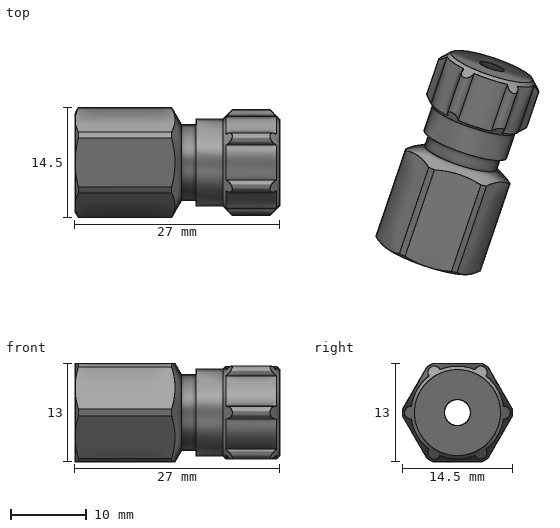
import cadquery as cq
import math

total_length = 27.0
neck_start = 14.05
collar_start = 15.95
knob_start = 19.52
knob_length = total_length - knob_start

hex_across_flats = 13.0
hex_corner_diameter = 14.5
hex_chamfer_angle = 30.0

neck_diameter = 10.0
collar_diameter = 11.5

knob_diameter = 12.23
knob_end_diameter = 11.35
rib_count = 6
rib_radius = 0.85
rib_tip_radius = 6.97
rib_center_radius = rib_tip_radius - rib_radius

socket_diameter = 8.55
socket_mouth_diameter = 9.7
socket_depth = 10.8
through_diameter = 3.4


def cylinder(start, length, diameter):
    """Cylinder on the X axis, beginning at the given X."""
    return cq.Workplane("YZ", origin=(start, 0, 0)).circle(diameter / 2).extrude(length)


def turned(points):
    """Solid turned about the X axis from (x, radius) points."""
    return cq.Workplane("XY").polyline(points).close().revolve(360, (0, 0, 0), (1, 0, 0))


def hex_body():
    """Hexagonal prism with rounded corners and conical ends; the rear cone runs down to the neck."""
    flat_radius = hex_across_flats / 2
    corner_radius = hex_corner_diameter / 2
    neck_radius = neck_diameter / 2
    slope = math.tan(math.radians(hex_chamfer_angle))
    front_chamfer = (corner_radius - flat_radius) * slope
    rear_chamfer = (corner_radius - neck_radius) * slope
    point_diameter = hex_across_flats / math.cos(math.pi / 6)
    prism = cq.Workplane("YZ").polygon(6, point_diameter).extrude(neck_start)
    envelope = turned([
        (0, 0),
        (0, flat_radius),
        (front_chamfer, corner_radius),
        (neck_start - rear_chamfer, corner_radius),
        (neck_start, neck_radius),
        (neck_start, 0),
    ])
    return prism.intersect(envelope)


def knob():
    """Cylinder with rounded lengthwise ribs, both ends bevelled at 45 degrees."""
    body = cylinder(knob_start, knob_length, knob_diameter)
    ribs = (
        cq.Workplane("YZ", origin=(knob_start, 0, 0))
        .polarArray(rib_center_radius, 0, 360, rib_count)
        .circle(rib_radius)
        .extrude(knob_length)
    )
    front_radius = collar_diameter / 2
    end_radius = knob_end_diameter / 2
    envelope = turned([
        (knob_start, 0),
        (knob_start, front_radius),
        (knob_start + rib_tip_radius - front_radius, rib_tip_radius),
        (total_length - (rib_tip_radius - end_radius), rib_tip_radius),
        (total_length, end_radius),
        (total_length, 0),
    ])
    return body.union(ribs).intersect(envelope)


def bore():
    """Socket with a 45 degree mouth chamfer, followed by a through hole."""
    socket_radius = socket_diameter / 2
    mouth_radius = socket_mouth_diameter / 2
    socket = turned([
        (0, 0),
        (0, mouth_radius),
        (mouth_radius - socket_radius, socket_radius),
        (socket_depth, socket_radius),
        (socket_depth, 0),
    ])
    return socket.union(cylinder(0, total_length, through_diameter))


neck = cylinder(neck_start, collar_start - neck_start, neck_diameter)
collar = cylinder(collar_start, knob_start - collar_start, collar_diameter)

result = hex_body().union(neck).union(collar).union(knob()).cut(bore())